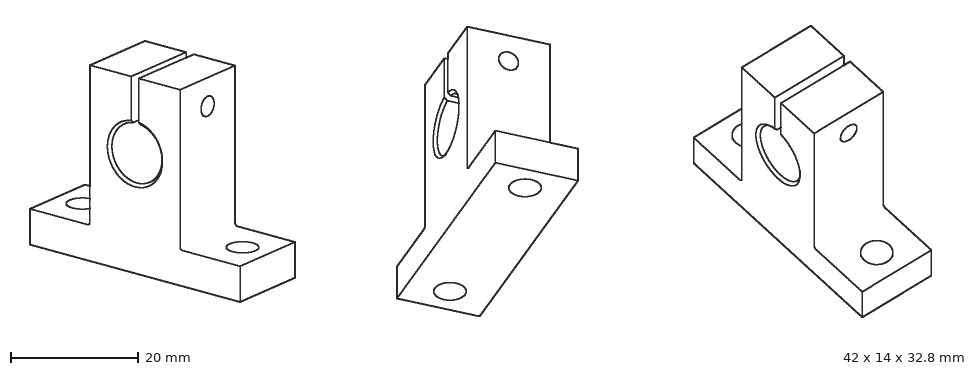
import cadquery as cq

base_length = 42.0
depth = 14.0
base_height = 6.0
mount_hole_diameter = 5.1
mount_hole_spacing = 32.0

total_height = 32.8
column_width = 18.0
root_fillet = 0.5

bore_diameter = 10.0
bore_height = 20.0
bore_chamfer = 0.5
slot_width = 1.5

screw_hole_diameter = 3.3
screw_hole_height = 28.0


def make_body():
    """Base flange and column, centred on X and Y, with rounded inner corners."""
    base = cq.Workplane("XY").box(base_length, depth, base_height, centered=(True, True, False))
    column = cq.Workplane("XY").box(column_width, depth, total_height, centered=(True, True, False))
    body = base.union(column)
    inner_corners = cq.selectors.BoxSelector(
        (-column_width / 2 - root_fillet, -depth, base_height - root_fillet),
        (column_width / 2 + root_fillet, depth, base_height + root_fillet),
    )
    return body.edges("|Y").edges(inner_corners).fillet(root_fillet)


def make_bore():
    """Shaft bore along Y, widening in a chamfer at both faces."""
    mouth_radius = bore_diameter / 2 + bore_chamfer
    profile = [
        (0, -depth / 2),
        (mouth_radius, -depth / 2),
        (bore_diameter / 2, -depth / 2 + bore_chamfer),
        (bore_diameter / 2, depth / 2 - bore_chamfer),
        (mouth_radius, depth / 2),
        (0, depth / 2),
    ]
    bore = cq.Workplane("XY").polyline(profile).close().revolve(360, (0, 0), (0, 1))
    return bore.translate((0, 0, bore_height))


def make_slot():
    """Clamping slot from the bore centre up through the top of the column."""
    slot = cq.Workplane("XY").box(
        slot_width, depth, total_height - bore_height, centered=(True, True, False)
    )
    return slot.translate((0, 0, bore_height))


def make_mount_holes():
    """Vertical through holes, one in each end of the base."""
    centres = [(side * mount_hole_spacing / 2, 0) for side in (-1, 1)]
    return cq.Workplane("XY").pushPoints(centres).circle(mount_hole_diameter / 2).extrude(base_height)


def make_screw_hole():
    """Clamp screw hole along X through both jaws of the column."""
    return (
        cq.Workplane("YZ")
        .center(0, screw_hole_height)
        .circle(screw_hole_diameter / 2)
        .extrude(column_width / 2, both=True)
    )


result = (
    make_body()
    .cut(make_bore())
    .cut(make_slot())
    .cut(make_mount_holes())
    .cut(make_screw_hole())
)